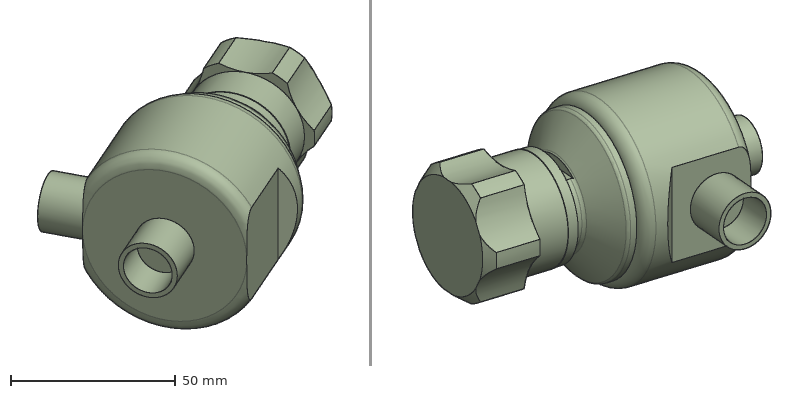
import cadquery as cq
import math


body_radius = 31.115
body_length = 42.5
body_fillet = 4.57
flat_offset = 26.5
flat_length = 29.0
flat_runout_angle = 45.0

tube_radius = 9.525
tube_wall = 1.65
tube_bore_depth = 12.7
axial_tube_length = 15.56
side_tube_end = 42.215
side_tube_y = 12.7

groove_radius = body_radius - body_fillet
groove_width = 0.33
cap_radius = 27.94
cap_cone_start = 45.85
cap_edge_fillet = 1.5

neck_radius = 16.0
neck_start = 54.2
neck_end = 58.24
neck_root_fillet = 1.5
neck_flat_offset = 12.7

collar_radius = 19.05
collar_lip_radius = 18.85
collar_lip_end = 61.94

nut_start = 74.46
nut_end = 93.53
nut_corner_radius = 22.35
nut_corner_half_width = 2.8
nut_hollow_radius = 19.1
nut_chamfer = 3.05
nut_sides = 6


def cylinder(radius, y_start, y_end):
    """Solid cylinder on the main axis between two Y positions."""
    plane = cq.Workplane("XZ", origin=(0, y_start, 0))
    return plane.circle(radius).extrude(y_start - y_end)


def make_body():
    body = cylinder(body_radius, 0, body_length).edges("%CIRCLE").fillet(body_fillet)
    overhang = 1.0
    cut_depth = body_radius + overhang - flat_offset
    runout = cut_depth / math.tan(math.radians(flat_runout_angle))
    outer = flat_offset + cut_depth
    for side in (1, -1):
        cutter = (
            cq.Workplane("XY", origin=(0, 0, -body_radius))
            .polyline([
                (side * flat_offset, -overhang),
                (side * flat_offset, flat_length),
                (side * outer, flat_length + runout),
                (side * outer, -overhang),
            ])
            .close()
            .extrude(2 * body_radius)
        )
        body = body.cut(cutter)
    return body


def make_cap_and_neck():
    """Groove, cap disc, cone and neck as one turned shape, with flats on the neck."""
    cap_start = body_length + groove_width
    turned = (
        cq.Workplane("XY")
        .moveTo(0, body_length)
        .lineTo(groove_radius, body_length)
        .lineTo(groove_radius, cap_start)
        .lineTo(cap_radius, cap_start)
        .lineTo(cap_radius, cap_cone_start)
        .lineTo(neck_radius, neck_start)
        .lineTo(neck_radius, neck_end)
        .lineTo(0, neck_end)
        .close()
        .revolve(360, (0, 0, 0), (0, 1, 0))
    )
    cone_start_edge = cq.selectors.NearestToPointSelector((0, cap_cone_start, cap_radius))
    turned = turned.edges("%CIRCLE").edges(cone_start_edge).fillet(cap_edge_fillet)
    cone_end_edge = cq.selectors.NearestToPointSelector((0, neck_start, neck_radius))
    turned = turned.edges("%CIRCLE").edges(cone_end_edge).fillet(neck_root_fillet)

    flat_cut_height = cap_radius - neck_flat_offset
    for side in (1, -1):
        cutter = cq.Workplane("XY").box(
            2 * cap_radius, neck_end - neck_start, flat_cut_height
        ).translate((
            0,
            (neck_start + neck_end) / 2,
            side * (neck_flat_offset + flat_cut_height / 2),
        ))
        turned = turned.cut(cutter)
    return turned


def make_collar():
    lip = cylinder(collar_lip_radius, neck_end, collar_lip_end)
    return lip.union(cylinder(collar_radius, collar_lip_end, nut_start))


def make_nut():
    """Six rounded corners joined by hollow sides, chamfered at the outer end."""
    def polar(radius, angle):
        return (radius * math.cos(angle), radius * math.sin(angle))

    step = 2 * math.pi / nut_sides
    half_corner = math.asin(nut_corner_half_width / nut_corner_radius)
    outline = cq.Workplane("XZ", origin=(0, nut_start, 0)).moveTo(
        *polar(nut_corner_radius, -half_corner)
    )
    for index in range(nut_sides):
        corner = index * step
        outline = outline.threePointArc(
            polar(nut_corner_radius, corner),
            polar(nut_corner_radius, corner + half_corner),
        ).threePointArc(
            polar(nut_hollow_radius, corner + step / 2),
            polar(nut_corner_radius, corner + step - half_corner),
        )
    prism = outline.close().extrude(nut_start - nut_end)
    envelope = cylinder(nut_corner_radius, nut_start, nut_end).faces(">Y").chamfer(nut_chamfer)
    return prism.intersect(envelope)


def make_tube(plane, root, length):
    """Tube along the plane's normal, starting at root and bored from its open end."""
    tube = cq.Workplane(plane, origin=root).circle(tube_radius).extrude(length)
    bore = (
        cq.Workplane(plane, origin=root)
        .workplane(offset=length - tube_bore_depth)
        .circle(tube_radius - tube_wall)
        .extrude(tube_bore_depth)
    )
    return tube.cut(bore)


axial_tube = make_tube("XZ", (0, 0, 0), axial_tube_length)
side_tube = make_tube("ZY", (-flat_offset, side_tube_y, 0), side_tube_end - flat_offset)

result = make_body()
for piece in (make_cap_and_neck(), make_collar(), make_nut(), axial_tube, side_tube):
    result = result.union(piece)